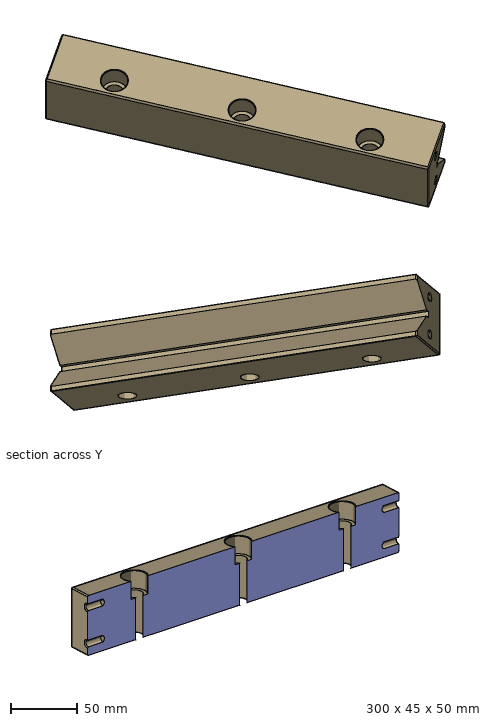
import cadquery as cq
import math

LENGTH = 300.0
DEPTH = 45.0
HEIGHT = 50.0
FRONT = -DEPTH / 2
BACK = DEPTH / 2
FRONT_EDGE_CHAMFER = 1.4
BACK_EDGE_CHAMFER = 0.4
END_CHAMFER = 1.0

LIP_HEIGHT = 4.0
SLOT_WIDTH = 5.0
SLOT_BOTTOM_DEPTH = 22.0
GROOVE_HALF_WIDTH = HEIGHT / 2 - LIP_HEIGHT
GROOVE_DEPTH = GROOVE_HALF_WIDTH - SLOT_WIDTH / 2

BOLT_DIAMETER = 14.0
BOLT_HEAD_DIAMETER = 20.0
BOLT_HEAD_DEPTH = 15.0
BOLT_MOUTH_CHAMFER = 0.5
BOLT_COUNT = 3
BOLT_PITCH = 100.0
BOLT_Y = FRONT + 14.0

END_HOLE_DIAMETER = 5.19
END_HOLE_MOUTH_DIAMETER = 7.0
END_HOLE_DEPTH = 15.0
END_HOLE_SPACING = 30.0
END_HOLE_Y = FRONT + 20.0
DRILL_POINT_ANGLE = 118.0


def make_block():
    """Sharp-edged block of the full outer size."""
    return cq.Workplane("XY").box(LENGTH, DEPTH, HEIGHT)


def make_bar():
    """Block with chamfered edges: one chamfered prism per axis, intersected."""
    long_prism = (
        make_block()
        .edges("|X and <Y")
        .chamfer(FRONT_EDGE_CHAMFER)
        .edges("|X and >Y")
        .chamfer(BACK_EDGE_CHAMFER)
    )
    cross_prism = make_block().edges("|Y").chamfer(END_CHAMFER)
    upright_prism = make_block().edges("|Z").chamfer(END_CHAMFER)
    return long_prism.intersect(cross_prism).intersect(upright_prism)


def make_groove():
    """Prism with the groove section, running the full length of the bar."""
    half_slot = SLOT_WIDTH / 2
    return (
        cq.Workplane("YZ")
        .moveTo(BACK, GROOVE_HALF_WIDTH)
        .lineTo(BACK - GROOVE_DEPTH, half_slot)
        .lineTo(BACK - SLOT_BOTTOM_DEPTH, half_slot)
        .lineTo(BACK - SLOT_BOTTOM_DEPTH, -half_slot)
        .lineTo(BACK - GROOVE_DEPTH, -half_slot)
        .lineTo(BACK, -GROOVE_HALF_WIDTH)
        .close()
        .extrude(LENGTH / 2, both=True)
    )


def cut_bolt_holes(body):
    """Row of through holes, counterbored from the top face, with a chamfered mouth."""
    return (
        body.faces(">Z")
        .workplane(origin=(0, BOLT_Y, 0))
        .rarray(BOLT_PITCH, 1, BOLT_COUNT, 1)
        .cboreHole(BOLT_DIAMETER, BOLT_HEAD_DIAMETER, BOLT_HEAD_DEPTH)
        .faces(">Z")
        .edges("%CIRCLE")
        .chamfer(BOLT_MOUTH_CHAMFER)
    )


def make_end_hole(side, z):
    """Drill shape entering the end face on the given X side (-1 or +1)."""
    radius = END_HOLE_DIAMETER / 2
    mouth_radius = END_HOLE_MOUTH_DIAMETER / 2
    point_length = radius / math.tan(math.radians(DRILL_POINT_ANGLE / 2))
    end_x = side * LENGTH / 2
    return (
        cq.Workplane("XZ", origin=(end_x, END_HOLE_Y, z))
        .moveTo(0, 0)
        .lineTo(0, mouth_radius)
        .lineTo(-side * (mouth_radius - radius), radius)
        .lineTo(-side * END_HOLE_DEPTH, radius)
        .lineTo(-side * (END_HOLE_DEPTH + point_length), 0)
        .close()
        .revolve(360, (0, 0), (1, 0))
    )


def cut_end_holes(body):
    """Pair of drilled holes in each end face."""
    for side in (-1, 1):
        for z in (-END_HOLE_SPACING / 2, END_HOLE_SPACING / 2):
            body = body.cut(make_end_hole(side, z))
    return body


bar = make_bar().cut(make_groove())
result = cut_end_holes(cut_bolt_holes(bar))